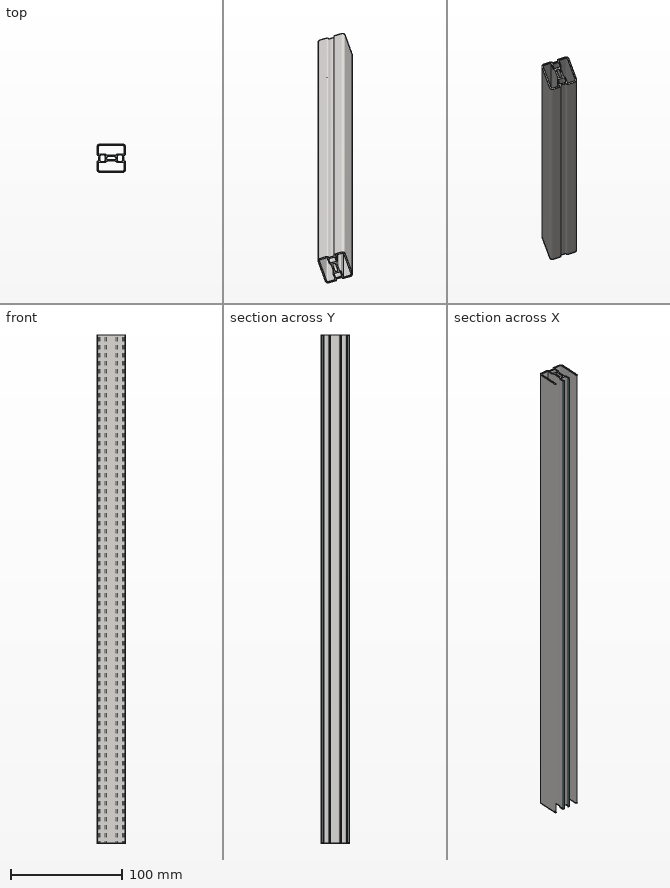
import cadquery as cq

SIDE = 25.5
LENGTH = 456.0
WALL = 1.3
CORNER_RADIUS = 2.6

GROOVE_DEPTH = 2.0
GROOVE_WIDTH = 5.0
GROOVE_FLOOR_RADIUS = 0.65
GROOVE_MOUTH_RADIUS = 1.2
GROOVE_BULGE = 0.35

CELL_WALL = 1.0
CELL_WIDTH = 4.5
CELL_HEIGHT = 6.0
CELL_RADIUS = 1.5

CENTRE_HEIGHT = 2.65
CENTRE_RADIUS = 1.28

SLOPE_RUN = 1.6
SLOPE_RADIUS = 1.3

half_side = SIDE / 2
cell_outer_x = half_side - GROOVE_DEPTH - CELL_WALL
cell_inner_x = cell_outer_x - CELL_WIDTH
cell_x = (cell_outer_x + cell_inner_x) / 2
centre_width = 2 * (cell_inner_x - WALL)
band_y = CELL_HEIGHT / 2 + CELL_WALL
web_y = CENTRE_HEIGHT / 2 + WALL


def rounded_bar(width, height, radius, x=0.0):
    """Full-length bar with rounded long edges, centred at x."""
    bar = cq.Workplane("XY").center(x, 0).rect(width, height).extrude(LENGTH)
    return bar.edges("|Z").fillet(radius)


def groove():
    """Tool for the +X groove, open to the side and with a floor that bulges outwards."""
    half_width = GROOVE_WIDTH / 2
    floor_x = half_side - GROOVE_DEPTH
    return (
        cq.Workplane("XY")
        .moveTo(half_side, -half_width)
        .lineTo(half_side, half_width)
        .lineTo(floor_x, half_width)
        .threePointArc((floor_x + GROOVE_BULGE, 0), (floor_x, -half_width))
        .close()
        .extrude(LENGTH)
        .edges("|Z and <X")
        .fillet(GROOVE_FLOOR_RADIUS)
    )


def shell():
    """Solid outer shape with both grooves and their rounded mouths."""
    tool = groove()
    body = rounded_bar(SIDE, SIDE, CORNER_RADIUS).cut(tool).cut(tool.mirror("YZ"))
    near_mouths = cq.selectors.BoxSelector((-SIDE, -GROOVE_WIDTH, 0), (SIDE, GROOVE_WIDTH, LENGTH))
    return body.edges("|Z").edges(">X or <X").edges(near_mouths).fillet(GROOVE_MOUTH_RADIUS)


def main_chamber():
    """Tool for the large +Y chamber above the bands and the centre web."""
    wall_x = half_side - WALL
    web_half = cell_inner_x - SLOPE_RUN
    chamber = (
        cq.Workplane("XY")
        .polyline(
            [
                (-wall_x, wall_x),
                (-wall_x, band_y),
                (-cell_inner_x, band_y),
                (-web_half, web_y),
                (web_half, web_y),
                (cell_inner_x, band_y),
                (wall_x, band_y),
                (wall_x, wall_x),
            ]
        )
        .close()
        .extrude(LENGTH)
    )
    chamber = chamber.edges("|Z and >Y").fillet(CORNER_RADIUS - WALL)
    slope_zone = cq.selectors.BoxSelector((-cell_outer_x, 0, 0), (cell_outer_x, CELL_HEIGHT, LENGTH))
    return chamber.edges("|Z").edges(slope_zone).fillet(SLOPE_RADIUS)


chamber = main_chamber()
result = shell().cut(chamber).cut(chamber.mirror("XZ"))
for side in (-1, 1):
    result = result.cut(rounded_bar(CELL_WIDTH, CELL_HEIGHT, CELL_RADIUS, side * cell_x))
result = result.cut(rounded_bar(centre_width, CENTRE_HEIGHT, CENTRE_RADIUS))